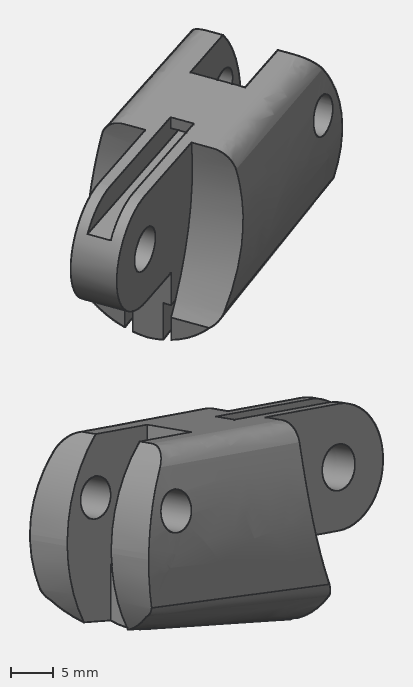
import cadquery as cq
import math

LENGTH = 46.35
HEIGHT = 24.95
HALF_WIDTH = 9.95
MARGIN = 4.65

TONGUE_RADIUS = 7.5
TONGUE_WIDTH = 5.98
TONGUE_HOLE_DIAMETER = 5.5
PIVOT_Z = -TONGUE_RADIUS

BODY_FRONT_Y = 14.4
CLEVIS_PIVOT_Y = 41.55
CLEVIS_HOLE_DIAMETER = 5.05
SLOT_WIDTH = 7.1
SLOT_CLEARANCE_RADIUS = 8.65
SLOT_LOWER_Y = 39.05
BACK_APEX_Z = -11.95
BACK_BOTTOM_Y = 43.55
BACK_BOTTOM_Z = -21.95

SHOULDER_RADIUS = 30.1
SHOULDER_APEX_Y = 20.05
SHOULDER_APEX_Z = -3.7

CHANNEL_WIDTH = 3.0
CHANNEL_DEPTH = 3.05
CHANNEL_END_Y = 23.5
TUNNEL_HEIGHT = CHANNEL_DEPTH / 2

POST_WIDTH = 4.0
GROOVE_TOP_Z = -19.55
GROOVE_ROUND_Y = 15.75


def box(width, y_range, z_range):
    """Box centred on X, spanning the given Y and Z ranges."""
    depth = y_range[1] - y_range[0]
    height = z_range[1] - z_range[0]
    block = cq.Workplane("XY").box(width, depth, height, centered=(True, False, False))
    return block.translate((0, y_range[0], z_range[0]))


def extrude_across(sketch, width):
    """Extrude a YZ sketch symmetrically along X."""
    return sketch.extrude(width / 2, both=True)


def cross_pin(y, diameter):
    """Pin across the whole width at pivot height."""
    sketch = cq.Workplane("YZ").center(y, PIVOT_Z).circle(diameter / 2)
    return extrude_across(sketch, 2 * HALF_WIDTH + MARGIN)


def body_section(y, top, shoulder, side, corner_mid, low_side, low_corner_mid, low, low_mid, bottom):
    """Barrel-shaped XZ wire; every point is given on the +X half."""

    def mirrored(point):
        return (-point[0], point[1])

    return (
        cq.Workplane("XZ", origin=(0, y, 0))
        .moveTo(*mirrored(top))
        .lineTo(*top)
        .threePointArc(corner_mid, shoulder)
        .threePointArc(side, low_side)
        .threePointArc(low_corner_mid, low)
        .threePointArc(low_mid, bottom)
        .threePointArc(mirrored(low_mid), mirrored(low))
        .threePointArc(mirrored(low_corner_mid), mirrored(low_side))
        .threePointArc(mirrored(side), mirrored(shoulder))
        .threePointArc(mirrored(corner_mid), mirrored(top))
        .close()
        .val()
    )


def make_body():
    """Tapered barrel with a rounded back end."""
    front = body_section(
        BODY_FRONT_Y, top=(5.75, 0), corner_mid=(7.7, -0.7), shoulder=(8.7, -2.22),
        side=(HALF_WIDTH, -12.5), low_side=(9.25, -19.55), low_corner_mid=(8.8, -20.52),
        low=(7.95, -21.25), low_mid=(4.25, -23.95), bottom=(0, -HEIGHT),
    )
    back = body_section(
        LENGTH, top=(5.37, 0), corner_mid=(7.4, -0.7), shoulder=(8.5, -2.22),
        side=(9.6, -11.6), low_side=(9.0, -18.5), low_corner_mid=(8.5, -19.2),
        low=(7.7, -19.7), low_mid=(4.1, -21.65), bottom=(0, -22.3),
    )
    barrel = cq.Workplane(cq.Solid.makeLoft([front, back], True))
    side_profile = (
        cq.Workplane("YZ")
        .moveTo(BODY_FRONT_Y, 0)
        .lineTo(CLEVIS_PIVOT_Y, 0)
        .threePointArc((LENGTH, BACK_APEX_Z), (BACK_BOTTOM_Y, BACK_BOTTOM_Z))
        .lineTo(BACK_BOTTOM_Y, -HEIGHT - MARGIN)
        .lineTo(BODY_FRONT_Y, -HEIGHT - MARGIN)
        .close()
    )
    return barrel.intersect(extrude_across(side_profile, 2 * HALF_WIDTH + MARGIN))


def shoulder_cut():
    """Clearance in front of the curved shoulders, leaving the middle untouched."""
    def arc_y(z):
        rise = z - SHOULDER_APEX_Z
        return SHOULDER_APEX_Y - SHOULDER_RADIUS + math.sqrt(SHOULDER_RADIUS**2 - rise**2)

    sketch = (
        cq.Workplane("YZ")
        .moveTo(0, 0)
        .lineTo(arc_y(0), 0)
        .threePointArc((arc_y(-HEIGHT / 2), -HEIGHT / 2), (arc_y(-HEIGHT), -HEIGHT))
        .lineTo(0, -HEIGHT)
        .close()
    )
    full_width = extrude_across(sketch, 2 * HALF_WIDTH + MARGIN)
    return full_width.cut(box(TONGUE_WIDTH, (0, LENGTH), (-HEIGHT - MARGIN, MARGIN)))


def make_tongue():
    """Round-ended tongue running back into the body."""
    sketch = (
        cq.Workplane("YZ")
        .moveTo(SHOULDER_APEX_Y, 0)
        .lineTo(TONGUE_RADIUS, 0)
        .threePointArc((0, PIVOT_Z), (TONGUE_RADIUS, -2 * TONGUE_RADIUS))
        .lineTo(SHOULDER_APEX_Y, -2 * TONGUE_RADIUS)
        .close()
    )
    return extrude_across(sketch, TONGUE_WIDTH)


def clevis_slot():
    """Slot whose floor curves around the clevis pivot, then drops straight down."""
    lower_offset = CLEVIS_PIVOT_Y - SLOT_LOWER_Y
    lower_z = PIVOT_Z - math.sqrt(SLOT_CLEARANCE_RADIUS**2 - lower_offset**2)
    diagonal = SLOT_CLEARANCE_RADIUS * math.sqrt(0.5)
    floor_y = CLEVIS_PIVOT_Y - SLOT_CLEARANCE_RADIUS
    sketch = (
        cq.Workplane("YZ")
        .moveTo(LENGTH + MARGIN, MARGIN)
        .lineTo(floor_y, MARGIN)
        .lineTo(floor_y, PIVOT_Z)
        .threePointArc((CLEVIS_PIVOT_Y - diagonal, PIVOT_Z - diagonal), (SLOT_LOWER_Y, lower_z))
        .lineTo(SLOT_LOWER_Y, -HEIGHT - MARGIN)
        .lineTo(LENGTH + MARGIN, -HEIGHT - MARGIN)
        .close()
    )
    return extrude_across(sketch, SLOT_WIDTH)


def cord_passage():
    """Open channel in the tongue plus the tunnel leading to the clevis slot."""
    channel = box(CHANNEL_WIDTH, (-MARGIN, CHANNEL_END_Y), (-CHANNEL_DEPTH, MARGIN))
    tunnel = box(
        CHANNEL_WIDTH, (CHANNEL_END_Y, CLEVIS_PIVOT_Y), (-CHANNEL_DEPTH, TUNNEL_HEIGHT - CHANNEL_DEPTH)
    )
    return channel.union(tunnel)


def post_grooves():
    """Two grooves with a shared round back, separated by the central post."""
    z_range = (-HEIGHT - MARGIN, GROOVE_TOP_Z)
    straight = box(TONGUE_WIDTH, (0, GROOVE_ROUND_Y), z_range)
    round_end = (
        cq.Workplane("XY", origin=(0, GROOVE_ROUND_Y, z_range[0]))
        .circle(TONGUE_WIDTH / 2)
        .extrude(z_range[1] - z_range[0])
    )
    return straight.union(round_end).cut(box(POST_WIDTH, (0, LENGTH), z_range))


result = (
    make_body()
    .cut(shoulder_cut())
    .union(make_tongue())
    .cut(clevis_slot())
    .cut(cord_passage())
    .cut(post_grooves())
    .cut(cross_pin(TONGUE_RADIUS, TONGUE_HOLE_DIAMETER))
    .cut(cross_pin(CLEVIS_PIVOT_Y, CLEVIS_HOLE_DIAMETER))
)